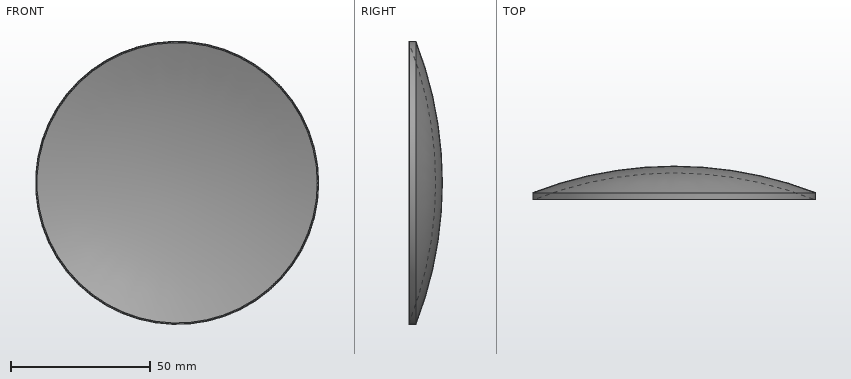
import cadquery as cq
import math

rim_radius = 50.8
total_depth = 12.0
rim_width = 2.4
lip_width = 0.5
wall = 2.4

hollow_radius = rim_radius - lip_width
hollow_depth = total_depth - wall


def arc_midpoint(edge_radius, edge_y, crown_y):
    """Point halfway along the spherical arc from the crown to the edge."""
    rise = crown_y - edge_y
    sphere_radius = (edge_radius**2 + rise**2) / (2 * rise)
    half_angle = math.asin(edge_radius / sphere_radius) / 2
    x = sphere_radius * math.sin(half_angle)
    y = crown_y - sphere_radius * (1 - math.cos(half_angle))
    return (x, y)


half_section = (
    cq.Workplane("XY")
    .moveTo(0, hollow_depth)
    .threePointArc(arc_midpoint(hollow_radius, 0, hollow_depth), (hollow_radius, 0))
    .lineTo(rim_radius, 0)
    .lineTo(rim_radius, rim_width)
    .threePointArc(arc_midpoint(rim_radius, rim_width, total_depth), (0, total_depth))
    .close()
)

result = half_section.revolve(360, (0, 0, 0), (0, 1, 0))